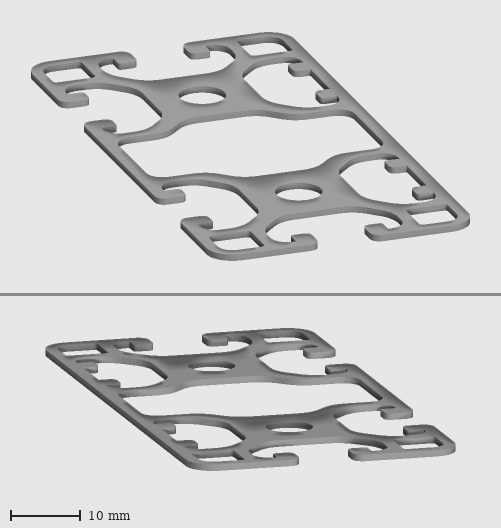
import cadquery as cq
import math

length = 80.0
cell = length / 2
thickness = 1.0
corner_radius = 4.0
half_cell = cell / 2
cell_centers = (-half_cell, half_cell)

slot_wall = 2.0
corner_wall = 1.8
web = 1.8
core_half = 7.8
core_bore = 6.8
web_offset = 2.2
web_radius = 5.0

slot_half = 10.0
opening_half = 4.0
hook_half = 7.0
lip_depth = 4.5
slot_radius = 2.5
hook_radius = 0.5
lip_radius = 1.0
mouth_radius = 1.5
mouth_clearance = 0.8

chamber_radius = 2.5
pocket_radius = 0.5


def rounded_prism(corners):
    """Extrude a closed outline of (x, y, radius) corners; radius 0 leaves a corner sharp."""
    stations = []
    for i, (x, y, radius) in enumerate(corners):
        corner = cq.Vector(x, y)
        before = (cq.Vector(*corners[i - 1][:2]) - corner).normalized()
        after = (cq.Vector(*corners[(i + 1) % len(corners)][:2]) - corner).normalized()
        half_angle = before.getAngle(after) / 2
        setback = radius / math.tan(half_angle)
        bisector = (before + after).normalized()
        middle = corner + bisector * (radius / math.sin(half_angle) - radius)
        stations.append((corner + before * setback, middle, corner + after * setback, radius))

    outline = cq.Workplane("XY").moveTo(*stations[0][2].toTuple()[:2])
    for start, middle, end, radius in stations[1:] + stations[:1]:
        outline = outline.lineTo(*start.toTuple()[:2])
        if radius > 0:
            outline = outline.threePointArc(middle.toTuple()[:2], end.toTuple()[:2])
    return outline.close().extrude(thickness)


def mirrored(half_outline):
    """Complete an outline whose right half is given, using symmetry about x = 0."""
    return half_outline + [(-x, y, radius) for x, y, radius in reversed(half_outline)]


def slot(is_open):
    """T-slot cavity on the +Y side of a cell centred on the origin."""
    wall_level = half_cell - slot_wall
    lip_level = half_cell - lip_depth
    half = [
        (core_half - web_offset, core_half, web_radius),
        (slot_half, slot_half + web_offset, web_radius),
        (slot_half, wall_level, slot_radius),
        (hook_half, wall_level, 0),
        (hook_half, lip_level, hook_radius),
        (opening_half, lip_level, lip_radius),
    ]
    if is_open:
        half += [
            (opening_half, half_cell, mouth_radius),
            (hook_half, half_cell, 0),
            (hook_half, half_cell + mouth_clearance, 0),
        ]
    else:
        half.append((opening_half, wall_level, 0))
    return rounded_prism(mirrored(half))


def central_chamber():
    """Large closed opening between the two cells."""
    waist = half_cell - core_half
    neck = half_cell - slot_half - web
    top = half_cell - slot_wall
    upper_half = [
        (waist, core_half - web_offset, web_radius),
        (neck, slot_half + web - web_offset, web_radius),
        (neck, top, chamber_radius),
    ]
    lower_half = [(x, -y, radius) for x, y, radius in reversed(upper_half)]
    return rounded_prism(mirrored(lower_half + upper_half))


def corner_pocket(side_x, side_y):
    """Square pocket in one outer corner, rounded along the outside corner."""
    outer_x = side_x * (length / 2 - corner_wall)
    outer_y = side_y * (half_cell - corner_wall)
    inner_x = side_x * (length / 2 - slot_half + web)
    inner_y = side_y * (half_cell - slot_half + web)
    return rounded_prism([
        (outer_x, outer_y, corner_radius - corner_wall),
        (inner_x, outer_y, pocket_radius),
        (inner_x, inner_y, pocket_radius),
        (outer_x, inner_y, pocket_radius),
    ])


result = (
    cq.Workplane("XY")
    .rect(length, cell)
    .extrude(thickness)
    .edges("|Z")
    .fillet(corner_radius)
)

closed_slot = slot(is_open=False)
open_slot = slot(is_open=True)
z_axis = ((0, 0, 0), (0, 0, 1))

for center_x in cell_centers:
    result = result.cut(closed_slot.translate((center_x, 0, 0)))
    result = result.cut(open_slot.rotate(*z_axis, 180).translate((center_x, 0, 0)))
    bore = cq.Workplane("XY").center(center_x, 0).circle(core_bore / 2).extrude(thickness)
    result = result.cut(bore)

result = result.cut(open_slot.rotate(*z_axis, 90).translate((-half_cell, 0, 0)))
result = result.cut(open_slot.rotate(*z_axis, -90).translate((half_cell, 0, 0)))

result = result.cut(central_chamber())
for side_x in (-1, 1):
    for side_y in (-1, 1):
        result = result.cut(corner_pocket(side_x, side_y))